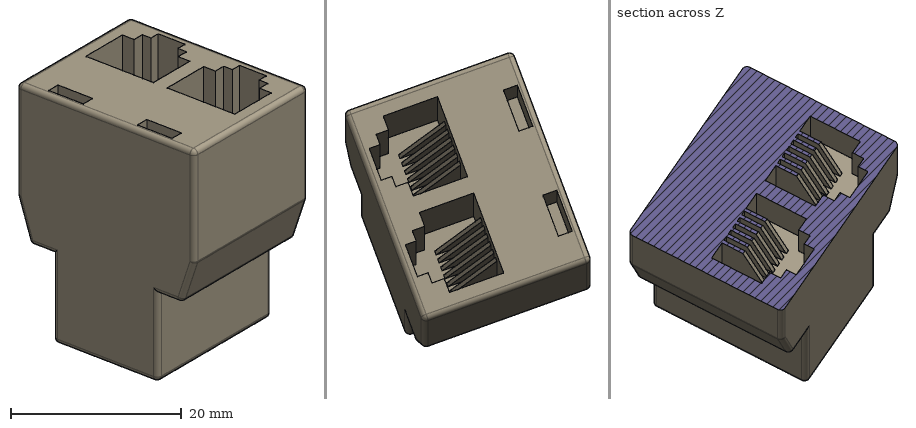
import cadquery as cq

body_width = 26.85
depth = 21.07
height = 32.72
stem_width = 15.85
ledge_width = 22.9
ledge_height = 11.88
taper_top = 17.77
edge_radius = 0.65

socket_offset = 6.15
socket_depth = 13.1
socket_front = -0.35
socket_steps = [(10.2, 6.4), (6.67, 7.95), (4.05, 9.3)]

contact_count = 6
contact_pitch = 1.0
contact_width = 0.5
contact_rear = 5.35
contact_rise = 9.5

slot_offset = 6.7
slot_width = 5.25
slot_front = -9.62
slot_rear = -7.9
slot_depth = 6.55


def box_between(x_center, width, y_front, y_rear, z_bottom, z_top):
    """Box centred on x_center in X and spanning the given Y and Z limits."""
    return (
        cq.Workplane("XY", origin=(x_center, (y_front + y_rear) / 2, z_bottom))
        .box(width, y_rear - y_front, z_top - z_bottom, centered=(True, True, False))
    )


def edges_at(width, z):
    """Selector for the pair of Y-direction edges a given width apart at height z."""
    margin = 0.33
    reach = width / 2 + margin
    return cq.selectors.BoxSelector((-reach, -margin, z - margin), (reach, margin, z + margin))


def make_housing():
    """Symmetric XZ outline extruded in Y, with rounded outer edges."""
    right_side = [
        (stem_width / 2, 0),
        (stem_width / 2, ledge_height),
        (ledge_width / 2, ledge_height),
        (body_width / 2, taper_top),
        (body_width / 2, height),
    ]
    left_side = [(-x, z) for x, z in reversed(right_side)]
    block = (
        cq.Workplane("XZ")
        .polyline(right_side + left_side)
        .close()
        .extrude(depth / 2, both=True)
    )
    return block.edges(-edges_at(stem_width, ledge_height)).fillet(edge_radius)


def make_socket(x_center):
    """Stepped socket cavity, less the contacts standing in it."""
    floor = height - socket_depth
    cavity = cq.Workplane("XY")
    for width, rear in socket_steps:
        cavity = cavity.union(box_between(x_center, width, socket_front, rear, floor, height))
    for index in range(contact_count):
        contact_x = x_center + (index - (contact_count - 1) / 2) * contact_pitch
        contact = (
            cq.Workplane("YZ", origin=(contact_x, 0, floor))
            .polyline([(socket_front, 0), (contact_rear, 0), (socket_front, contact_rise)])
            .close()
            .extrude(contact_width / 2, both=True)
        )
        cavity = cavity.cut(contact)
    return cavity


result = make_housing()
for side in (-1, 1):
    result = result.cut(make_socket(side * socket_offset))
    slot_x = side * slot_offset
    result = result.cut(
        box_between(slot_x, slot_width, slot_front, slot_rear, height - slot_depth, height)
    )